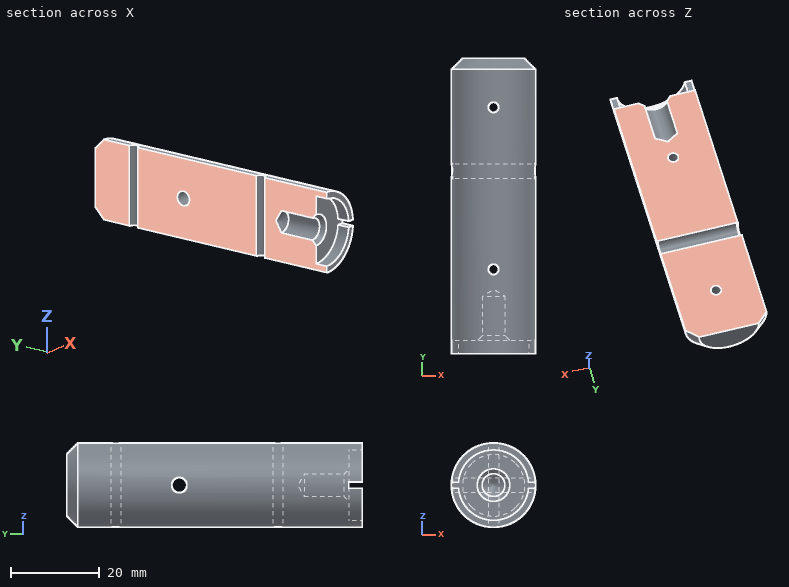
import cadquery as cq
import math

length = 66.7
body_diameter = 19.1
body_radius = body_diameter / 2
end_chamfer = 2.55
front_y = -length / 2
back_y = length / 2

recess_diameter = 15.9
recess_depth = 3.1
slot_width = 1.4
floor_y = front_y + recess_depth

bore_diameter = 5.15
bore_radius = bore_diameter / 2
countersink_diameter = 7.35
countersink_radius = countersink_diameter / 2
countersink_depth = countersink_radius - bore_radius
bore_depth = 10.0
drill_point_angle = 118.0
drill_point_depth = bore_radius / math.tan(math.radians(drill_point_angle / 2))

pin_hole_diameter = 2.3
pin_hole_distances = (11.1, 47.6)
side_hole_diameter = 3.35
side_hole_mouth_diameter = 3.5
side_hole_mouth_depth = 0.35
side_hole_distance = 25.4


def cylinder(diameter, depth, start, direction):
    """Solid cylinder from a start point along a direction."""
    return cq.Workplane(cq.Solid.makeCylinder(diameter / 2, depth, cq.Vector(*start), cq.Vector(*direction)))


def make_body():
    bar = cylinder(body_diameter, length, (0, front_y, 0), (0, 1, 0))
    return bar.faces(">Y").chamfer(end_chamfer)


def make_recess():
    return cylinder(recess_diameter, recess_depth, (0, front_y, 0), (0, 1, 0))


def make_slot():
    slot = cq.Workplane("XY").box(body_diameter, recess_depth, slot_width)
    return slot.translate((0, front_y + recess_depth / 2, 0))


def make_bore():
    """Countersink, straight bore and drill point revolved about the Y axis."""
    bore_end_y = floor_y + bore_depth
    profile = (
        cq.Workplane("XY")
        .moveTo(0, floor_y)
        .lineTo(countersink_radius, floor_y)
        .lineTo(bore_radius, floor_y + countersink_depth)
        .lineTo(bore_radius, bore_end_y)
        .lineTo(0, bore_end_y + drill_point_depth)
        .close()
    )
    return profile.revolve(360, (0, 0, 0), (0, 1, 0))


def make_pin_hole(distance):
    """Vertical through hole at a distance from the chamfered end."""
    return cylinder(pin_hole_diameter, body_diameter, (0, back_y - distance, -body_radius), (0, 0, 1))


def make_side_hole():
    """Through hole along X, slightly wider at both mouths."""
    hole_y = back_y - side_hole_distance
    hole = cylinder(side_hole_diameter, body_diameter, (-body_radius, hole_y, 0), (1, 0, 0))
    for side in (-1, 1):
        mouth_start = (side * body_radius, hole_y, 0)
        mouth = cylinder(side_hole_mouth_diameter, side_hole_mouth_depth, mouth_start, (-side, 0, 0))
        hole = hole.union(mouth)
    return hole


result = make_body().cut(make_recess()).cut(make_slot()).cut(make_bore()).cut(make_side_hole())
for pin_distance in pin_hole_distances:
    result = result.cut(make_pin_hole(pin_distance))